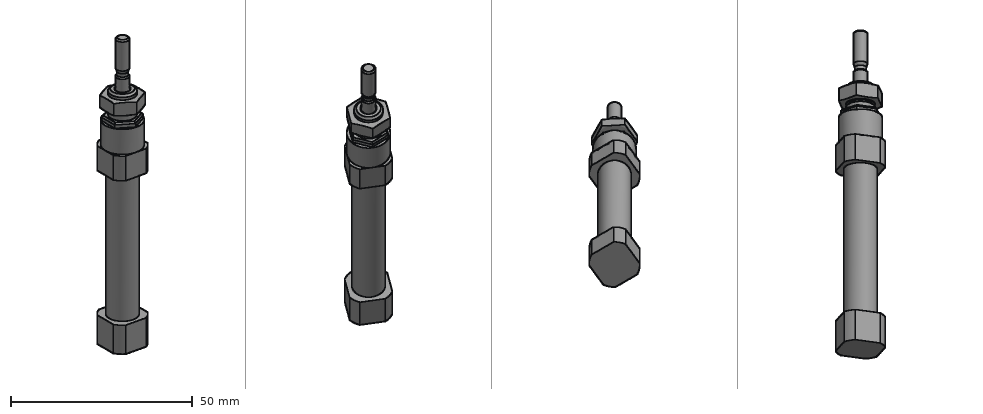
import cadquery as cq
import math

total_height = 94.5
rear_cap_top = 9.0
head_bottom = 53.7
head_square_top = 61.3
head_top = 69.1
gland_hex_top = 70.7
neck_bottom = 72.2
nut_bottom = 73.05
nut_top = 77.1
spigot_top = 78.6
rod_shoulder = 82.5
thread_relief_bottom = 83.0
thread_relief_top = 84.0
rod_thread_bottom = 85.05

head_diameter = 12.0
cap_width = head_diameter
cap_corner_diameter = 14.0
tube_diameter = 9.3
spigot_diameter = 8.0
spigot_end_diameter = 6.7
neck_diameter = 6.5
rod_bore_diameter = 4.2
bore_mouth_chamfer = 0.2
spigot_chamfer = (spigot_diameter - spigot_end_diameter) / 2
gland_hex_flats = 10.0
gland_hex_chamfer_height = 0.6
gland_hex_chamfer_inset = 0.4

nut_corner_diameter = 12.7
nut_flats = nut_corner_diameter * math.cos(math.radians(30))
nut_face_diameter = nut_flats
nut_chamfer_height = 0.2

rod_diameter = 4.0
thread_relief_diameter = 3.2
rod_end_chamfer = 0.5


def disc(diameter, bottom, top):
    """Round bar on the Z axis between two heights."""
    return cq.Workplane("XY", origin=(0, 0, bottom)).circle(diameter / 2).extrude(top - bottom)


def hexagon(flats, bottom, top):
    """Hexagonal bar on the Z axis with two corners on the X axis."""
    corner_diameter = flats / math.cos(math.radians(30))
    return cq.Workplane("XY", origin=(0, 0, bottom)).polygon(6, corner_diameter).extrude(top - bottom)


def turned(profile):
    """Solid of revolution about Z from (radius, height) points."""
    return cq.Workplane("XZ").polyline(profile).close().revolve(360, (0, 0), (0, 1))


def square_cap(bottom, top):
    """Square block whose four corners are rounded by one common circle."""
    block = cq.Workplane("XY", origin=(0, 0, bottom)).rect(cap_width, cap_width).extrude(top - bottom)
    return block.intersect(disc(cap_corner_diameter, bottom, top))


def rod_bore():
    """Clearance bore through the head and spigot, flared at its mouth."""
    bore_radius = rod_bore_diameter / 2
    return turned([
        (0, head_bottom),
        (bore_radius, head_bottom),
        (bore_radius, spigot_top - bore_mouth_chamfer),
        (bore_radius + bore_mouth_chamfer, spigot_top),
        (0, spigot_top),
    ])


def make_cylinder():
    """Rear cap, tube, head and threaded spigot in one piece, bored for the rod."""
    rear_cap = square_cap(0, rear_cap_top)
    tube = disc(tube_diameter, rear_cap_top, head_bottom)
    head_square = square_cap(head_bottom, head_square_top)
    head_round = disc(head_diameter, head_square_top, head_top)
    gland_hex = hexagon(gland_hex_flats, head_top, gland_hex_top)
    gland_hex = gland_hex.faces(">Z").edges().chamfer(gland_hex_chamfer_height, gland_hex_chamfer_inset)
    spigot_base = disc(spigot_diameter, gland_hex_top, neck_bottom)
    neck = disc(neck_diameter, neck_bottom, nut_bottom)
    spigot = disc(spigot_diameter, nut_bottom, spigot_top).faces(">Z").chamfer(spigot_chamfer)
    cylinder = rear_cap
    for section in (tube, head_square, head_round, gland_hex, spigot_base, neck, spigot):
        cylinder = cylinder.union(section)
    return cylinder.cut(rod_bore())


def make_nut():
    """Hexagonal nut on the spigot, its corners bevelled on both faces."""
    face_radius = nut_face_diameter / 2
    corner_radius = nut_corner_diameter / 2
    bevel_envelope = turned([
        (0, nut_bottom),
        (face_radius, nut_bottom),
        (corner_radius, nut_bottom + nut_chamfer_height),
        (corner_radius, nut_top - nut_chamfer_height),
        (face_radius, nut_top),
        (0, nut_top),
    ])
    nut = hexagon(nut_flats, nut_bottom, nut_top).intersect(bevel_envelope)
    return nut.cut(disc(spigot_diameter, nut_bottom, nut_top))


def make_rod():
    """Piston rod with a thread relief groove and a bevelled free end."""
    rod_radius = rod_diameter / 2
    relief_radius = thread_relief_diameter / 2
    return turned([
        (0, head_bottom),
        (rod_radius, head_bottom),
        (rod_radius, rod_shoulder),
        (relief_radius, thread_relief_bottom),
        (relief_radius, thread_relief_top),
        (rod_radius, rod_thread_bottom),
        (rod_radius, total_height - rod_end_chamfer),
        (rod_radius - rod_end_chamfer, total_height),
        (0, total_height),
    ])


cylinder = make_cylinder()
nut = make_nut()
rod = make_rod()

result = cq.Compound.makeCompound([cylinder.val(), nut.val(), rod.val()])